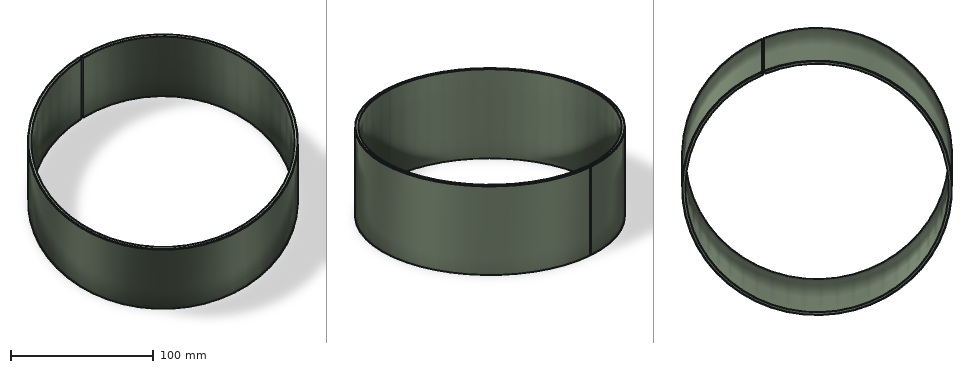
import cadquery as cq
import math

outer_diameter = 190.0
wall_thickness = 2.5
height = 70.0
outer_chamfer = 0.5
inner_chamfer = 0.2
slit_angle = 1.0

outer_radius = outer_diameter / 2
inner_radius = outer_radius - wall_thickness


def make_band():
    """Thin-walled cylindrical band standing on the XY plane."""
    return cq.Workplane("XY").circle(outer_radius).circle(inner_radius).extrude(height)


def make_slit_wedge():
    """Wedge from the axis past the -X wall, with one face on the XZ plane and the other toward +Y."""
    reach = outer_diameter
    opening = reach * math.tan(math.radians(slit_angle))
    outline = [(0, 0), (-reach, 0), (-reach, opening)]
    return cq.Workplane("XY").polyline(outline).close().extrude(height)


def chamfer_rims(body, rim_index, size):
    """Chamfer the top and bottom rims: index 0 is the smallest radius, -1 the largest."""
    rims = body.edges("%CIRCLE").edges(cq.selectors.RadiusNthSelector(rim_index))
    return rims.chamfer(size)


split_band = make_band().cut(make_slit_wedge())
outer_chamfered = chamfer_rims(split_band, -1, outer_chamfer)
result = chamfer_rims(outer_chamfered, 0, inner_chamfer)